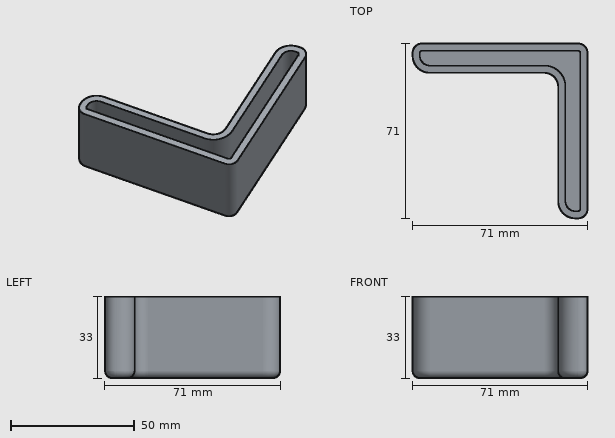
import cadquery as cq

side = 71.0
height = 33.0
arm_width = 12.0
wall = 3.0
floor = wall

outer_radius = 4.0
end_radius = 7.0
elbow_radius = 5.55
bottom_radius = 3.0


def rounded_angle(inset, depth):
    """L-shaped prism whose outline lies `inset` inside the outer outline."""
    low = inset
    high = side - inset
    arm_y = side - arm_width + inset
    arm_x = side - arm_width + inset
    body = (
        cq.Workplane("XY")
        .moveTo(low, high)
        .lineTo(high, high)
        .lineTo(high, low)
        .lineTo(arm_x, low)
        .lineTo(arm_x, arm_y)
        .lineTo(low, arm_y)
        .close()
        .extrude(depth)
    )
    middle = depth / 2
    outer_edges = [(low, high), (high, high), (high, low)]
    end_edges = [(low, arm_y), (arm_x, low)]
    elbow_edges = [(arm_x, arm_y)]
    for places, radius in (
        (outer_edges, outer_radius - inset),
        (end_edges, end_radius - inset),
        (elbow_edges, elbow_radius + inset),
    ):
        for x, y in places:
            nearest = cq.selectors.NearestToPointSelector((x, y, middle))
            body = body.edges("|Z").edges(nearest).fillet(radius)
    return body


shell = rounded_angle(0, height).faces("<Z").edges().fillet(bottom_radius)

cavity = rounded_angle(wall, height - floor).translate((0, 0, floor))

result = shell.cut(cavity)